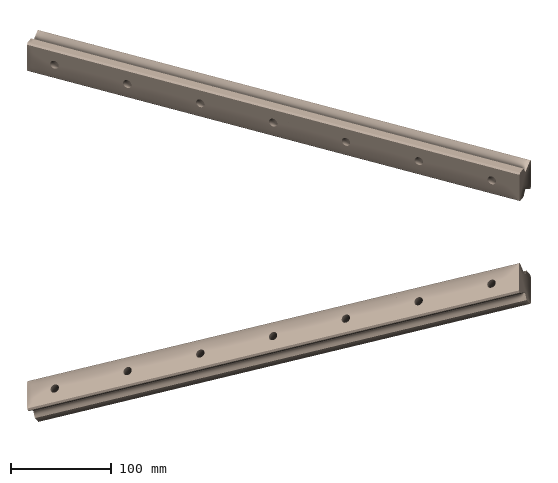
import cadquery as cq

length = 540.0
depth = 27.5
height = 34.0

front_chamfer = 1.5
back_chamfer = 1.5

groove_start = 9.5
groove_floor_start = 13.5
groove_floor_end = 14.5
groove_end = 25.0
groove_depth = 6.5

hole_diameter = 9.0
hole_pitch = 80.0
hole_count = 7


def make_rail():
    """Extrude the mirrored cross-section along X, centred on the origin."""
    front = -depth / 2
    back = depth / 2
    top = height / 2
    upper_outline = [
        (front, top - front_chamfer),
        (front + front_chamfer, top),
        (front + groove_start, top),
        (front + groove_floor_start, top - groove_depth),
        (front + groove_floor_end, top - groove_depth),
        (front + groove_end, top),
        (back - back_chamfer, top),
        (back, top - back_chamfer),
    ]
    lower_outline = [(y, -z) for y, z in reversed(upper_outline)]
    section = cq.Workplane("YZ").polyline(upper_outline + lower_outline).close()
    return section.extrude(length / 2, both=True)


def make_holes():
    """Evenly spaced cylinders along Y, centred on the rail."""
    return (
        cq.Workplane("XZ")
        .rarray(hole_pitch, 5.5, hole_count, 1)
        .circle(hole_diameter / 2)
        .extrude(depth, both=True)
    )


result = make_rail().cut(make_holes())